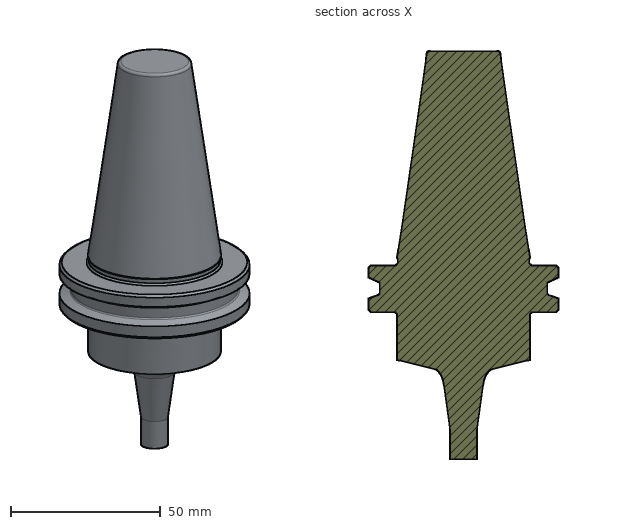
import cadquery as cq

total_height = 136.2
tip_top = 9.8
cone_top = 25.9
fillet_top = 29.8
body_bottom = 33.1
body_top = 48.4
flange_bottom = 49.0
groove_outer_bottom = 53.7
groove_inner_bottom = 55.0
groove_inner_top = 58.9
groove_outer_top = 60.6
flange_top = 64.7
neck_bottom = 65.4
neck_top = 66.8
taper_bottom = 67.2

tip_radius = 9.1 / 2
cone_top_radius = 6.8
fillet_top_radius = 9.0
body_radius = 44.4 / 2
flange_radius = 63.5 / 2
groove_radius = 56.0 / 2
neck_radius = 44.0 / 2
taper_radius = 44.5 / 2

flange_chamfer = 0.8
end_fillet = 1.1
groove_fillet = 0.5
taper_slope = 7 / 48

body_flare = flange_bottom - body_top
neck_flare = neck_bottom - flange_top
end_radius = taper_radius - taper_slope * (total_height - taper_bottom)

section = (
    cq.Workplane("XZ")
    .lineTo(tip_radius, 0)
    .lineTo(tip_radius, tip_top)
    .lineTo(cone_top_radius, cone_top)
    .tangentArcPoint((fillet_top_radius, fillet_top), relative=False)
    .lineTo(body_radius, body_bottom)
    .lineTo(body_radius, body_top)
    .lineTo(body_radius + body_flare, flange_bottom)
    .lineTo(flange_radius - flange_chamfer, flange_bottom)
    .lineTo(flange_radius, flange_bottom + flange_chamfer)
    .lineTo(flange_radius, groove_outer_bottom)
    .lineTo(groove_radius, groove_inner_bottom)
    .lineTo(groove_radius, groove_inner_top)
    .lineTo(flange_radius, groove_outer_top)
    .lineTo(flange_radius, flange_top - flange_chamfer)
    .lineTo(flange_radius - flange_chamfer, flange_top)
    .lineTo(neck_radius + neck_flare, flange_top)
    .lineTo(neck_radius, neck_bottom)
    .lineTo(neck_radius, neck_top)
    .lineTo(taper_radius, taper_bottom)
    .lineTo(end_radius, total_height)
    .lineTo(0, total_height)
    .close()
)

holder = section.revolve(360, (0, 0, 0), (0, 1, 0))

holder = holder.faces(">Z").edges().fillet(end_fillet)

corner_edge = cq.selectors.BoxSelector(
    (-flange_radius, -flange_radius, groove_inner_bottom - groove_fillet),
    (flange_radius, flange_radius, groove_inner_bottom + groove_fillet),
)
result = holder.edges(corner_edge).edges("%CIRCLE").fillet(groove_fillet)